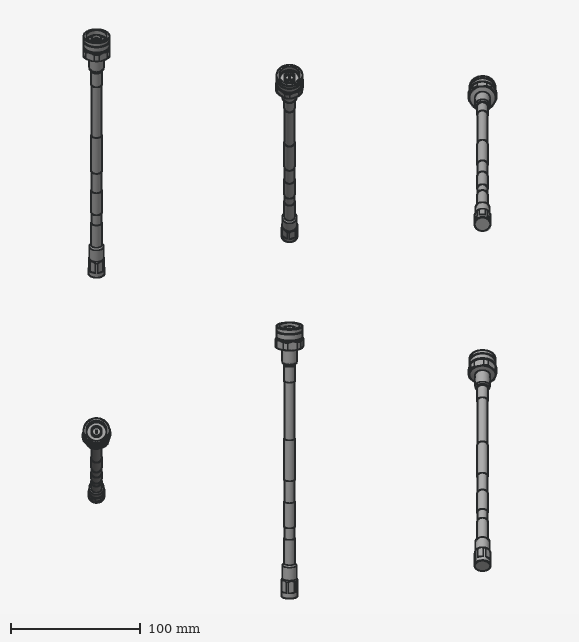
import cadquery as cq

overall_length = 218.2

cable_bottom = 26.6
cable_top = 186.3
cable_radius = 4.0
sleeve_thickness = 0.33
sleeve_radius = cable_radius + sleeve_thickness
sleeve_spans = [
    (cable_bottom, 47.0),
    (56.3, 76.5),
    (94.3, 127.2),
    (173.7, cable_top),
]

barrel_radius = 5.9
barrel_taper_radius = 5.7
barrel_collar_step = 0.2
barrel_collar_radius = sleeve_radius + barrel_collar_step
barrel_collar_top = 187.6
barrel_taper_bottom = 188.7
barrel_bottom = 190.3

nut_flat_distance = 10.3
nut_corner_radius = 11.0
nut_bottom = 200.5
nut_hex_bottom = 201.8
nut_hex_top = 208.4
nut_top_chamfer = 0.9
nut_underside_radius = 6.8
nut_edge_height = 201.2
nut_edge_radius = 10.0
nut_sleeve_inset = 0.1
nut_sleeve_radius = nut_flat_distance - nut_sleeve_inset
nut_rim_chamfer = 0.33
groove_width = 0.7
groove_depth = 0.1
groove_bottoms = [208.8, 214.0]

socket_radius = 8.0
socket_floor_chamfer = 0.55
socket_depth = 4.8
contact_outer_radius = 4.1
contact_thickness = 0.55
contact_inner_radius = contact_outer_radius - contact_thickness
contact_recess = 1.3
pin_radius = 0.76
pin_recess = 2.2

small_nut_radius = 6.3
small_nut_flat_distance = 5.9
small_nut_flats_bottom = 4.5
small_nut_shoulder_bottom = 13.3
small_nut_shoulder_top = 14.6
small_nut_chamfer = 0.5
small_barrel_radius = 5.7
small_barrel_top = 25.0


def cylinder(radius, bottom, top):
    return cq.Workplane("XY").workplane(offset=bottom).circle(radius).extrude(top - bottom)


def turned(profile):
    """Revolve (radius, height) points, listed upward, about the Z axis."""
    outline = [(0, profile[0][1])] + profile + [(0, profile[-1][1])]
    return cq.Workplane("XZ").polyline(outline).close().revolve(360, (0, 0), (0, 1))


def hexagon_prism(flat_distance, bottom, top):
    """Hexagonal prism with two of its flats facing -X and +X."""
    prism = cq.Workplane("XY").workplane(offset=bottom)
    return prism.polygon(6, 2 * flat_distance, circumscribed=True).extrude(top - bottom)


def make_cable():
    cable = cylinder(cable_radius, cable_bottom, cable_top)
    for bottom, top in sleeve_spans:
        cable = cable.union(cylinder(sleeve_radius, bottom, top))
    return cable


def make_upper_barrel():
    return turned([
        (sleeve_radius, cable_top),
        (barrel_collar_radius, barrel_collar_top),
        (barrel_taper_radius, barrel_taper_bottom),
        (barrel_radius, barrel_bottom),
        (barrel_radius, nut_hex_bottom),
    ])


def make_coupling_nut():
    chamfered_round = turned([
        (nut_underside_radius, nut_bottom),
        (nut_edge_radius, nut_edge_height),
        (nut_corner_radius, nut_hex_bottom),
        (nut_corner_radius, nut_hex_top - nut_top_chamfer),
        (nut_sleeve_radius, nut_hex_top),
    ])
    hexagon = hexagon_prism(nut_flat_distance, nut_bottom, nut_hex_top)
    nut = chamfered_round.intersect(hexagon)
    nut_sleeve = cylinder(nut_sleeve_radius, nut_hex_top, overall_length)
    nut = nut.union(nut_sleeve.faces(">Z").chamfer(nut_rim_chamfer))
    for bottom in groove_bottoms:
        top = bottom + groove_width
        groove = cylinder(nut_sleeve_radius, bottom, top)
        groove = groove.cut(cylinder(nut_sleeve_radius - groove_depth, bottom, top))
        nut = nut.cut(groove)
    return nut


def make_socket_cavity():
    """Space inside the nut, around the tubular contact and the pin."""
    floor = overall_length - socket_depth
    contact_top = overall_length - contact_recess
    contact = cylinder(contact_outer_radius, floor, contact_top)
    contact = contact.cut(cylinder(contact_inner_radius, floor, contact_top))
    pin = cylinder(pin_radius, floor, overall_length - pin_recess)
    cavity = turned([
        (socket_radius - socket_floor_chamfer, floor),
        (socket_radius, floor + socket_floor_chamfer),
        (socket_radius, overall_length),
    ])
    return cavity.cut(contact).cut(pin)


def make_upper_connector():
    return make_upper_barrel().union(make_coupling_nut()).cut(make_socket_cavity())


def make_lower_connector():
    connector = turned([
        (small_nut_radius - small_nut_chamfer, 0),
        (small_nut_radius, small_nut_chamfer),
        (small_nut_radius, small_nut_shoulder_bottom),
        (small_barrel_radius, small_nut_shoulder_top),
        (small_barrel_radius, small_barrel_top),
        (sleeve_radius, cable_bottom),
    ])
    span = (small_nut_flats_bottom, small_nut_shoulder_top)
    milled_away = cylinder(small_nut_radius, *span).cut(hexagon_prism(small_nut_flat_distance, *span))
    return connector.cut(milled_away)


cable = make_cable()
upper_connector = make_upper_connector()
lower_connector = make_lower_connector()

result = cq.Compound.makeCompound([
    cable.val(),
    upper_connector.val(),
    lower_connector.val(),
])